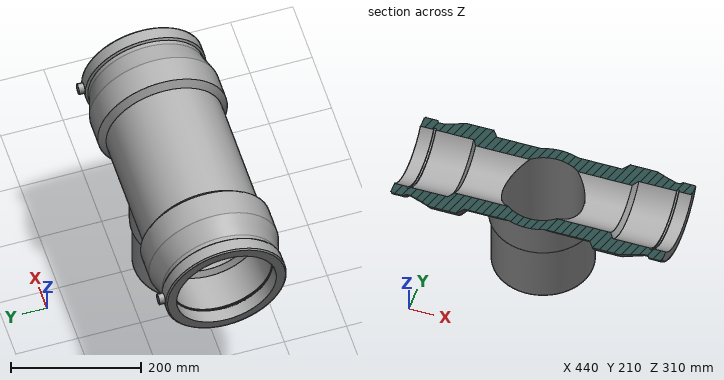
import cadquery as cq

length = 440.0
overall_width = 210.0
overall_height = 310.0
half_length = length / 2
run_diameter = 187.5
run_bore = 144.0

collar_diameter = 193.5
neck_diameter = 187.0
bulge_diameter = 208.0
collar_chamfer = 2.0
collar_depth = 21.5
neck_start = 24.0
neck_end = 31.2
bulge_start = 66.5
bulge_end = 109.5
socket_end = 119.0
socket_bore = 160.0
groove_start = 21.5
groove_width = 3.5
groove_height = 2.0
seat_depth = 86.2
seat_taper_end = 93.5

branch_collar_diameter = 168.0
branch_diameter = 160.0
branch_bore = 128.0
branch_collar_drop = bulge_diameter / 2
branch_drop = overall_height - bulge_diameter / 2

pin_diameter = 16.5
pin_depth = 12.5
pin_tip = overall_width - bulge_diameter / 2


def x_cylinder(diameter, start, cylinder_length):
    """Cylinder on the run axis, reaching from start toward +X."""
    return cq.Workplane("YZ", origin=(start, 0, 0)).circle(diameter / 2).extrude(cylinder_length)


def down_cylinder(diameter, drop):
    """Cylinder from the run axis down to the given drop."""
    return cq.Workplane("XY").circle(diameter / 2).extrude(-drop)


def revolve_inward(profile):
    """Turn (depth from the -X end face, radius) points around the run axis."""
    points = [(depth - half_length, radius) for depth, radius in profile]
    return cq.Workplane("XY").polyline(points).close().revolve(360, (0, 0, 0), (1, 0, 0))


def socket_body():
    """Solid outer shape of the socket at the -X end."""
    end_radius = collar_diameter / 2 - collar_chamfer
    profile = [
        (0, 0),
        (0, end_radius),
        (collar_chamfer, collar_diameter / 2),
        (collar_depth, collar_diameter / 2),
        (neck_start, neck_diameter / 2),
        (neck_end, neck_diameter / 2),
        (bulge_start, bulge_diameter / 2),
        (bulge_end, bulge_diameter / 2),
        (socket_end, run_diameter / 2),
        (socket_end, 0),
    ]
    body = revolve_inward(profile)
    pin = (
        cq.Workplane("XZ", origin=(pin_depth - half_length, 0, 0))
        .circle(pin_diameter / 2)
        .extrude(-pin_tip)
    )
    return body.union(pin)


def socket_cavity():
    """Pipe seat, its shallow groove and the taper down to the run bore, at the -X end."""
    profile = [
        (0, 0),
        (0, socket_bore / 2),
        (seat_depth, socket_bore / 2),
        (seat_taper_end, run_bore / 2),
        (seat_taper_end, 0),
    ]
    seat = revolve_inward(profile)
    groove_diameter = socket_bore + 2 * groove_height
    groove = x_cylinder(groove_diameter, groove_start - half_length, groove_width)
    return seat.union(groove)


body = x_cylinder(run_diameter, -half_length + socket_end, length - 2 * socket_end)
body = body.union(down_cylinder(branch_collar_diameter, branch_collar_drop))
body = body.union(down_cylinder(branch_diameter, branch_drop))
socket = socket_body()
body = body.union(socket).union(socket.mirror("YZ"))

body = body.cut(x_cylinder(run_bore, -half_length, length))
body = body.cut(down_cylinder(branch_bore, branch_drop))
cavity = socket_cavity()
result = body.cut(cavity).cut(cavity.mirror("YZ"))